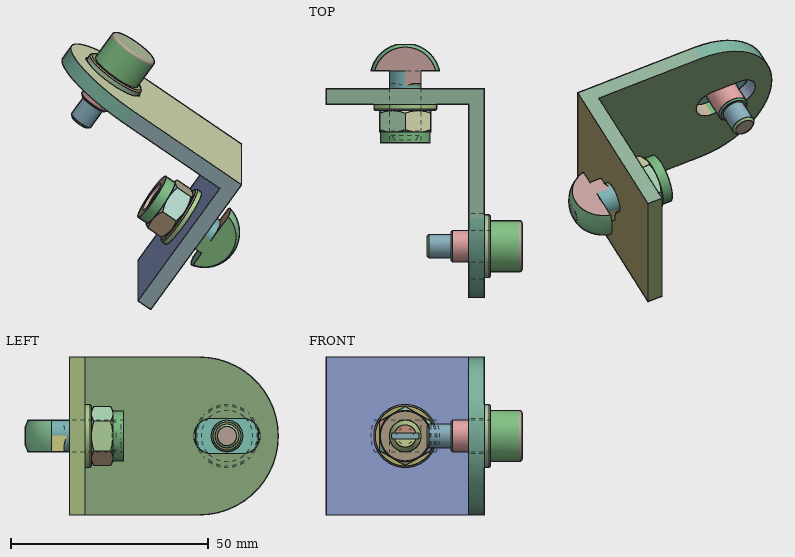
import cadquery as cq
import math


bracket_width = 40.0
sheet = 4.0
wall_length = 52.9
slot_length = 16.65
slot_width = 9.0

shank_diameter = 8.0
washer_diameter = 15.95
washer_thickness = 1.6
washer_chamfer = 0.4

bolt_x = -bracket_width / 2
head_sphere_radius = 8.9
head_sphere_height = 7.0
head_height = 6.7
head_standoff = 4.5
lug_length = 3.15
lug_fillet = 0.8
bolt_tip_recess = 0.7
bolt_tip_chamfer_width = 1.2
bolt_tip_chamfer_length = 2.25
driver_slot_width = 1.4
driver_slot_depth = 1.2

nut_across_flats = 12.95
nut_hex_height = 5.45
nut_corner_bevel = 0.65
collar_diameter = 12.55
collar_height = 2.7

screw_y = -39.9
screw_head_diameter = 13.0
screw_head_height = 8.0
screw_head_fillet = 0.8
shoulder_reach = 8.45
shoulder_chamfer = 0.45
tip_diameter = 6.0
tip_reach = 14.55
tip_chamfer = 0.6

shank_radius = shank_diameter / 2
plate_inner_y = -sheet
nut_seat_y = plate_inner_y - washer_thickness
nut_end_y = nut_seat_y - nut_hex_height - collar_height
bolt_tip_y = nut_end_y + bolt_tip_recess


def across_bolt(y):
    """Workplane square to the bolt axis at height y; it extrudes toward -Y."""
    return cq.Workplane("XZ", origin=(bolt_x, y, 0))


def across_screw(x):
    """Workplane square to the screw axis at x; it extrudes toward +X."""
    return cq.Workplane("YZ", origin=(x, screw_y, 0))


def make_bracket():
    plate = cq.Workplane("XY").box(
        bracket_width, sheet, bracket_width, centered=(False, False, True)
    ).translate((-bracket_width, -sheet, 0))

    half_width = bracket_width / 2
    wall = (
        cq.Workplane("YZ", origin=(-sheet, 0, 0))
        .moveTo(0, half_width)
        .lineTo(half_width - wall_length, half_width)
        .threePointArc((-wall_length, 0), (half_width - wall_length, -half_width))
        .lineTo(0, -half_width)
        .close()
        .extrude(sheet)
    )
    bolt_hole = across_bolt(0).circle(shank_radius).extrude(sheet)
    screw_slot = across_screw(-sheet).slot2D(slot_length, slot_width).extrude(sheet)
    return plate.union(wall).cut(bolt_hole).cut(screw_slot)


def make_washer(seat):
    """Washer lying on a seat plane, its outer rim chamfered on the far side."""
    disc = seat.circle(washer_diameter / 2).extrude(washer_thickness)
    far_face = cq.selectors.DirectionMinMaxSelector(seat.plane.zDir, True)
    disc = disc.faces(far_face).edges().chamfer(washer_chamfer)
    return disc.cut(seat.circle(shank_radius).extrude(washer_thickness))


def make_nut():
    corner_diameter = nut_across_flats / math.cos(math.pi / 6)
    flat_radius = nut_across_flats / 2
    bevel_width = corner_diameter / 2 - flat_radius

    hexagon = (
        across_bolt(nut_seat_y)
        .transformed(rotate=(0, 0, 90))
        .polygon(6, corner_diameter)
        .extrude(nut_hex_height)
    )
    bevel_envelope = (
        across_bolt(nut_seat_y)
        .circle(corner_diameter / 2)
        .extrude(nut_hex_height)
        .faces("<Y")
        .chamfer(nut_corner_bevel, bevel_width)
        .faces(">Y")
        .chamfer(nut_corner_bevel, bevel_width)
    )
    collar = across_bolt(nut_seat_y - nut_hex_height).circle(collar_diameter / 2).extrude(collar_height)
    bore = across_bolt(nut_seat_y).circle(shank_radius).extrude(nut_hex_height + collar_height)
    return hexagon.intersect(bevel_envelope).union(collar).cut(bore)


def make_bolt_head():
    """Spherical cap with a small flat on top, sliced to the thickness of the shank."""
    sphere_centre_y = head_standoff + head_sphere_height - head_sphere_radius
    sphere = cq.Workplane("XY").sphere(head_sphere_radius).translate((bolt_x, sphere_centre_y, 0))
    slice_box = (
        across_bolt(head_standoff + head_height)
        .rect(2 * head_sphere_radius, shank_diameter)
        .extrude(head_height)
    )
    return sphere.intersect(slice_box)


def make_lugs():
    """Two opposite square quarters under the head, filleted down onto the shank."""
    lug_end = head_standoff - lug_length
    fillet_end = lug_end - lug_fillet
    outer = shank_radius + lug_fillet
    arc_offset = lug_fillet * (1 - math.sqrt(0.5))
    corner_reach = shank_diameter

    envelope = (
        cq.Workplane("XY", origin=(bolt_x, 0, 0))
        .moveTo(0, head_standoff)
        .lineTo(corner_reach, head_standoff)
        .lineTo(corner_reach, lug_end)
        .lineTo(outer, lug_end)
        .threePointArc((shank_radius + arc_offset, lug_end - arc_offset), (shank_radius, fillet_end))
        .lineTo(0, fillet_end)
        .close()
        .revolve(360, (0, 0, 0), (0, 1, 0))
    )
    quarters = (
        across_bolt(head_standoff)
        .pushPoints([(shank_radius / 2, shank_radius / 2), (-shank_radius / 2, -shank_radius / 2)])
        .rect(shank_radius, shank_radius)
        .extrude(head_standoff - fillet_end)
    )
    return quarters.intersect(envelope)


def make_bolt():
    shank = (
        across_bolt(head_standoff)
        .circle(shank_radius)
        .extrude(head_standoff - bolt_tip_y)
        .faces("<Y")
        .chamfer(bolt_tip_chamfer_length, bolt_tip_chamfer_width)
    )
    driver_slot = (
        across_bolt(bolt_tip_y + driver_slot_depth)
        .rect(shank_diameter, driver_slot_width)
        .extrude(driver_slot_depth)
    )
    return shank.union(make_bolt_head()).union(make_lugs()).cut(driver_slot)


def make_screw():
    head = (
        across_screw(washer_thickness)
        .circle(screw_head_diameter / 2)
        .extrude(screw_head_height)
        .faces(">X")
        .edges()
        .fillet(screw_head_fillet)
    )
    shoulder = (
        across_screw(-shoulder_reach)
        .circle(shank_radius)
        .extrude(shoulder_reach + washer_thickness)
        .faces("<X")
        .chamfer(shoulder_chamfer)
    )
    tip = (
        across_screw(-tip_reach)
        .circle(tip_diameter / 2)
        .extrude(tip_reach - shoulder_reach)
        .faces("<X")
        .chamfer(tip_chamfer)
    )
    return head.union(shoulder).union(tip)


bracket = make_bracket()
washers = [make_washer(seat) for seat in (across_bolt(plate_inner_y), across_screw(0))]
nut = make_nut()
bolt = make_bolt()
screw = make_screw()

result = cq.Compound.makeCompound(
    [bracket.val(), *[washer.val() for washer in washers], nut.val(), bolt.val(), screw.val()]
)